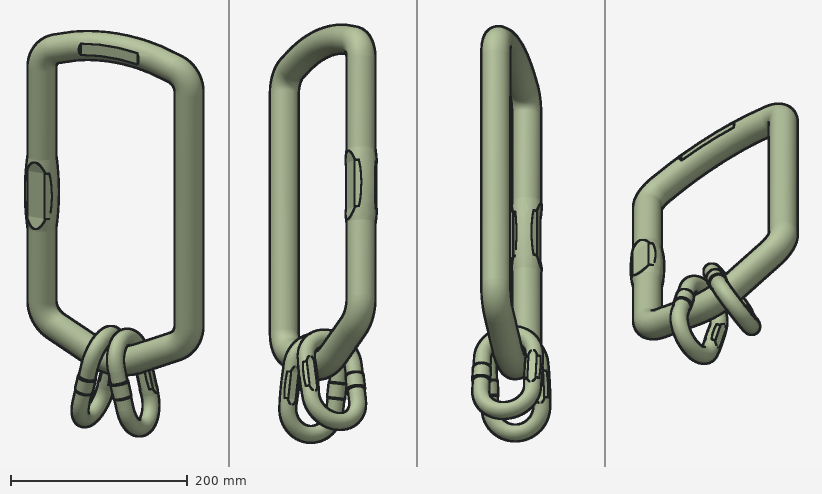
import cadquery as cq
import math

OVERALL_HEIGHT = 473.0

RING_BAR_DIAMETER = 33.0
RING_BAR_RADIUS = RING_BAR_DIAMETER / 2
LEG_X = 94.0
LEG_TOP_Z = 148.5
LEG_BOTTOM_Z = -129.5
RING_APEX_Z = 186.5
CROWN_CORNER_RADIUS = 26.0
SLOPE_ANGLE = 25.0
BOTTOM_BEND_RADIUS = 66.0

RING_SWELL_RADIUS = 19.5
RING_SWELL_HALF_LENGTH = 42.5
FLANK_ANGLE = 38.0
RING_FLAT_OFFSET = 13.5
RING_FLAT_HALF_WIDTH = 11.0
RING_FLAT_HALF_LENGTH = 27.0
RING_FLAT_RUNOUT = 38.5

CROWN_FLAT_OFFSET = 15.0
CROWN_FLAT_HALF_LENGTH = 36.0
CROWN_FLAT_RUNOUT = 38.5

LINK_BAR_DIAMETER = 19.5
LINK_BAR_RADIUS = LINK_BAR_DIAMETER / 2
LINK_BEND_RADIUS = 30.0
LINK_STRAIGHT_HALF = 22.5
LINK_TILT = 13.7
LINK_CENTRE_X = 22.5

COLLAR_RADIUS = 10.5
COLLAR_LENGTH = 19.0
COLLAR_BEVEL_LENGTH = 1.5

LINK_SWELL_RADIUS = COLLAR_RADIUS
LINK_FLAT_OFFSET = 8.5
LINK_FLAT_HALF_WIDTH = 4.5
LINK_FLAT_HALF_LENGTH = 15.0
LINK_FLAT_RUNOUT = 21.8


def polar(centre, radius, degrees):
    """Point at an angle on a circle around the centre."""
    angle = math.radians(degrees)
    return (centre[0] + radius * math.cos(angle), centre[1] + radius * math.sin(angle))


def swelling(bar_radius, swell_radius, half_length):
    """Barrel around the Z axis that swells out of a round bar."""
    return (
        cq.Workplane("XZ")
        .moveTo(0, -half_length)
        .lineTo(bar_radius, -half_length)
        .threePointArc((swell_radius, 0), (bar_radius, half_length))
        .lineTo(0, half_length)
        .close()
        .revolve(360, (0, 0), (0, 1))
    )


def marking_cutters(bar_radius, flat_offset, flat_half_width, flat_half_length, runout_half):
    """Cutters for two opposite marking faces, facing +X and -X, on a bar along Z.

    Each face is a flat with side flanks and with ends that slope out to the bar surface.
    """
    reach = 2 * bar_radius
    end_slope = (runout_half - flat_half_length) / (bar_radius - flat_offset)
    reach_half_length = flat_half_length + end_slope * (reach - flat_offset)
    lengthwise = (
        cq.Workplane("XZ")
        .polyline([
            (0, -flat_half_length),
            (flat_offset, -flat_half_length),
            (reach, -reach_half_length),
            (reach, reach_half_length),
            (flat_offset, flat_half_length),
            (0, flat_half_length),
        ])
        .close()
        .extrude(reach, both=True)
    )
    flank_run = flat_offset / math.tan(math.radians(FLANK_ANGLE))
    outer_half_width = flat_half_width + flank_run
    crosswise = (
        cq.Workplane("XY")
        .polyline([
            (0, -outer_half_width),
            (flat_offset, -flat_half_width),
            (flat_offset, flat_half_width),
            (0, outer_half_width),
            (reach, outer_half_width),
            (reach, -outer_half_width),
        ])
        .close()
        .extrude(reach_half_length, both=True)
    )
    cutter = lengthwise.intersect(crosswise)
    return cutter.union(cutter.mirror("YZ"))


corner_span = LEG_X - CROWN_CORNER_RADIUS
corner_drop = RING_APEX_Z - LEG_TOP_Z
crown_radius = (
    (corner_span**2 + corner_drop**2 - CROWN_CORNER_RADIUS**2)
    / (2 * (corner_drop - CROWN_CORNER_RADIUS))
)
crown_centre = (0, RING_APEX_Z - crown_radius)
crown_half_angle = math.degrees(math.asin(corner_span / (crown_radius - CROWN_CORNER_RADIUS)))

bottom_bend_centre = (0, BOTTOM_BEND_RADIUS - RING_APEX_Z)
slope_sin = math.sin(math.radians(SLOPE_ANGLE))
slope_cos = math.cos(math.radians(SLOPE_ANGLE))
bottom_corner_radius = (
    (BOTTOM_BEND_RADIUS - LEG_X * slope_sin + (LEG_BOTTOM_Z - bottom_bend_centre[1]) * slope_cos)
    / (1 - slope_sin)
)


def ring_path():
    """Closed centreline of the ring bar, starting at the middle of the left leg."""
    top_right = (corner_span, LEG_TOP_Z)
    top_left = (-corner_span, LEG_TOP_Z)
    bottom_right = (LEG_X - bottom_corner_radius, LEG_BOTTOM_Z)
    bottom_left = (-LEG_X + bottom_corner_radius, LEG_BOTTOM_Z)
    crown_right_angle = 90 - crown_half_angle
    crown_left_angle = 90 + crown_half_angle
    slope_right_angle = SLOPE_ANGLE - 90
    slope_left_angle = -90 - SLOPE_ANGLE
    return (
        cq.Workplane("XZ")
        .moveTo(-LEG_X, 0)
        .lineTo(-LEG_X, LEG_TOP_Z)
        .threePointArc(
            polar(top_left, CROWN_CORNER_RADIUS, (180 + crown_left_angle) / 2),
            polar(top_left, CROWN_CORNER_RADIUS, crown_left_angle),
        )
        .threePointArc((0, RING_APEX_Z), polar(crown_centre, crown_radius, crown_right_angle))
        .threePointArc(
            polar(top_right, CROWN_CORNER_RADIUS, crown_right_angle / 2),
            (LEG_X, LEG_TOP_Z),
        )
        .lineTo(LEG_X, LEG_BOTTOM_Z)
        .threePointArc(
            polar(bottom_right, bottom_corner_radius, slope_right_angle / 2),
            polar(bottom_right, bottom_corner_radius, slope_right_angle),
        )
        .lineTo(*polar(bottom_bend_centre, BOTTOM_BEND_RADIUS, slope_right_angle))
        .threePointArc(
            (0, -RING_APEX_Z),
            polar(bottom_bend_centre, BOTTOM_BEND_RADIUS, slope_left_angle),
        )
        .lineTo(*polar(bottom_left, bottom_corner_radius, slope_left_angle))
        .threePointArc(
            polar(bottom_left, bottom_corner_radius, (slope_left_angle - 180) / 2),
            (-LEG_X, LEG_BOTTOM_Z),
        )
        .close()
    )


def crown_flat_cutter():
    """Cutter for the shallow flat with sloped ends on the -Y side of the crown."""
    slope = (CROWN_FLAT_RUNOUT - CROWN_FLAT_HALF_LENGTH) / (RING_BAR_RADIUS - CROWN_FLAT_OFFSET)
    reach = 2 * RING_BAR_RADIUS
    end_half = CROWN_FLAT_HALF_LENGTH + slope * (reach - CROWN_FLAT_OFFSET)
    return (
        cq.Workplane("XY")
        .polyline([
            (-CROWN_FLAT_HALF_LENGTH, -CROWN_FLAT_OFFSET),
            (CROWN_FLAT_HALF_LENGTH, -CROWN_FLAT_OFFSET),
            (end_half, -reach),
            (-end_half, -reach),
        ])
        .close()
        .extrude(RING_BAR_RADIUS, both=True)
        .translate((0, 0, RING_APEX_Z))
    )


def make_ring():
    bar = (
        cq.Workplane("XY")
        .center(-LEG_X, 0)
        .circle(RING_BAR_RADIUS)
        .sweep(ring_path())
    )
    barrel = swelling(RING_BAR_RADIUS, RING_SWELL_RADIUS, RING_SWELL_HALF_LENGTH)
    flats = marking_cutters(
        RING_BAR_RADIUS,
        RING_FLAT_OFFSET, RING_FLAT_HALF_WIDTH, RING_FLAT_HALF_LENGTH, RING_FLAT_RUNOUT,
    ).rotate((0, 0, 0), (0, 0, 1), 90)
    leg = (-LEG_X, 0, 0)
    return (
        bar.union(barrel.translate(leg))
        .cut(flats.translate(leg))
        .cut(crown_flat_cutter())
    )


def weld_collar():
    """Collar around the Z axis with bevelled ends that rise from the link bar."""
    half_length = COLLAR_LENGTH / 2
    rim = half_length - COLLAR_BEVEL_LENGTH
    return (
        cq.Workplane("XZ")
        .polyline([
            (0, -half_length),
            (LINK_BAR_RADIUS, -half_length),
            (COLLAR_RADIUS, -rim),
            (COLLAR_RADIUS, rim),
            (LINK_BAR_RADIUS, half_length),
            (0, half_length),
        ])
        .close()
        .revolve(360, (0, 0), (0, 1))
    )


def make_link(side):
    """Oval link on the left (side = -1) or right (side = 1) of the ring's lowest point."""
    end_z = LINK_STRAIGHT_HALF + LINK_BEND_RADIUS
    lowest_z = RING_APEX_Z + RING_BAR_RADIUS - OVERALL_HEIGHT
    centre_z = lowest_z + LINK_BAR_RADIUS + end_z * math.cos(math.radians(LINK_TILT))
    path = (
        cq.Workplane("YZ")
        .moveTo(-LINK_BEND_RADIUS, 0)
        .lineTo(-LINK_BEND_RADIUS, LINK_STRAIGHT_HALF)
        .threePointArc((0, end_z), (LINK_BEND_RADIUS, LINK_STRAIGHT_HALF))
        .lineTo(LINK_BEND_RADIUS, -LINK_STRAIGHT_HALF)
        .threePointArc((0, -end_z), (-LINK_BEND_RADIUS, -LINK_STRAIGHT_HALF))
        .close()
    )
    bar = cq.Workplane("XY").center(0, -LINK_BEND_RADIUS).circle(LINK_BAR_RADIUS).sweep(path)
    barrel = swelling(LINK_BAR_RADIUS, LINK_SWELL_RADIUS, LINK_STRAIGHT_HALF)
    flats = marking_cutters(
        LINK_BAR_RADIUS,
        LINK_FLAT_OFFSET, LINK_FLAT_HALF_WIDTH, LINK_FLAT_HALF_LENGTH, LINK_FLAT_RUNOUT,
    )
    front = (0, -LINK_BEND_RADIUS, 0)
    back = (0, LINK_BEND_RADIUS, 0)
    link = (
        bar.union(weld_collar().translate(front))
        .union(barrel.translate(back))
        .cut(flats.translate(back))
    )
    return (
        link.rotate((0, 0, 0), (0, 1, 0), -side * LINK_TILT)
        .translate((side * LINK_CENTRE_X, 0, centre_z))
    )


ring = make_ring()
links = [make_link(side) for side in (-1, 1)]

result = cq.Compound.makeCompound([body.solids().val() for body in (ring, *links)])